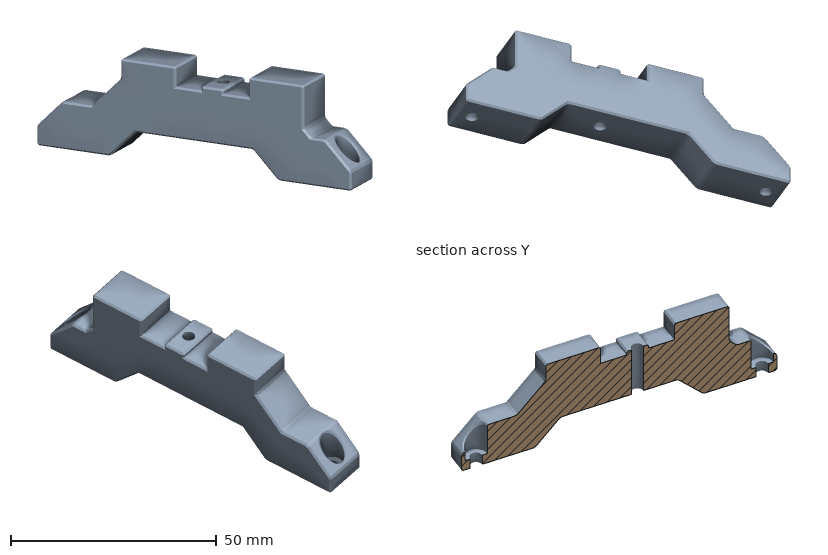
import cadquery as cq
import math

LENGTH = 86.0
WIDTH = 12.0
HEIGHT = 25.0

FOOT_LENGTH = 20.0
END_HEIGHT = 5.0
FOOT_HEIGHT = 12.0
OUTER_SLOPE = FOOT_HEIGHT - END_HEIGHT

ARCH_HEIGHT = 7.0
ARCH_START = FOOT_LENGTH + ARCH_HEIGHT
ARCH_END = LENGTH - ARCH_START
SEAT_Z = 19.95
BLOCK_LENGTH = 15.05
LEFT_BLOCK_START = 23.0
LEFT_BLOCK_END = LEFT_BLOCK_START + BLOCK_LENGTH
RIGHT_BLOCK_START = 58.0
RIGHT_BLOCK_END = RIGHT_BLOCK_START + BLOCK_LENGTH

LEFT_RAMP_START = LEFT_BLOCK_START - (SEAT_Z - FOOT_HEIGHT)
RIGHT_RAMP = 2.0
RIGHT_RAMP_END = RIGHT_BLOCK_END + RIGHT_RAMP

PAD_CENTER = 48.0
PAD_LENGTH = 6.0
PAD_HEIGHT = 1.1
PAD_START = PAD_CENTER - PAD_LENGTH / 2
PAD_END = PAD_CENTER + PAD_LENGTH / 2

HOLE_DIAMETER = 3.2
COUNTERBORE_DIAMETER = 5.9
COUNTERBORE_FLOOR_Z = 3.0
FOOT_HOLE_INSET = 4.0

CHAMFER = 0.47

SEAT_CORNERS = [
    (LEFT_BLOCK_END, SEAT_Z),
    (PAD_START, SEAT_Z),
    (PAD_END, SEAT_Z),
    (RIGHT_BLOCK_START, SEAT_Z),
]
RAMP_CORNERS = [
    (LEFT_RAMP_START, FOOT_HEIGHT),
    (LEFT_BLOCK_START, SEAT_Z),
    (RIGHT_BLOCK_END, FOOT_HEIGHT + RIGHT_RAMP),
    (RIGHT_RAMP_END, FOOT_HEIGHT),
    (ARCH_START, ARCH_HEIGHT),
    (ARCH_END, ARCH_HEIGHT),
]


def make_body():
    """Extrude the side outline equally to both sides of the XZ plane."""
    pad_z = SEAT_Z + PAD_HEIGHT
    outline = [
        (0, 0),
        (0, END_HEIGHT),
        (OUTER_SLOPE, FOOT_HEIGHT),
        (LEFT_RAMP_START, FOOT_HEIGHT),
        (LEFT_BLOCK_START, SEAT_Z),
        (LEFT_BLOCK_START, HEIGHT),
        (LEFT_BLOCK_END, HEIGHT),
        (LEFT_BLOCK_END, SEAT_Z),
        (PAD_START, SEAT_Z),
        (PAD_START, pad_z),
        (PAD_END, pad_z),
        (PAD_END, SEAT_Z),
        (RIGHT_BLOCK_START, SEAT_Z),
        (RIGHT_BLOCK_START, HEIGHT),
        (RIGHT_BLOCK_END, HEIGHT),
        (RIGHT_BLOCK_END, FOOT_HEIGHT + RIGHT_RAMP),
        (RIGHT_RAMP_END, FOOT_HEIGHT),
        (LENGTH - OUTER_SLOPE, FOOT_HEIGHT),
        (LENGTH, END_HEIGHT),
        (LENGTH, 0),
        (LENGTH - FOOT_LENGTH, 0),
        (ARCH_END, ARCH_HEIGHT),
        (ARCH_START, ARCH_HEIGHT),
        (FOOT_LENGTH, 0),
    ]
    return cq.Workplane("XZ").polyline(outline).close().extrude(WIDTH / 2, both=True)


def crosswise_edges(corners):
    """Selector for the edges along Y that pass through the given (x, z) corners."""
    reach = CHAMFER / 4
    boxes = [
        cq.selectors.BoxSelector((x - reach, -reach, z - reach), (x + reach, reach, z + reach))
        for x, z in corners
    ]
    selector = boxes[0]
    for box in boxes[1:]:
        selector = selector + box
    return selector


def break_edges(body):
    """Chamfer the sides and outer corners, then the ramp corners; seat corners stay sharp."""
    inner_corners = crosswise_edges(SEAT_CORNERS + RAMP_CORNERS)
    body = body.edges(cq.selectors.InverseSelector(inner_corners)).chamfer(CHAMFER)
    return body.edges(crosswise_edges(RAMP_CORNERS)).chamfer(CHAMFER)


def vertical_cylinder(x, diameter, bottom_z):
    """Cylinder along Z from bottom_z up past the top of the part."""
    return cq.Workplane("XY", origin=(x, 0, bottom_z)).circle(diameter / 2).extrude(HEIGHT)


def counterbore_rim(x, slope_direction):
    """Chamfer cutter for the elliptical counterbore mouth on an outer slope.

    slope_direction is 1 where the slope rises along +X and -1 where it falls.
    """
    radius = COUNTERBORE_DIAMETER / 2
    long_radius = radius * math.sqrt(2)
    mouth_z = END_HEIGHT + FOOT_HOLE_INSET

    def mouth_wire(z, margin):
        plane = cq.Plane((x, 0, z), xDir=(1, 0, slope_direction), normal=(-slope_direction, 0, 1))
        ellipse = cq.Workplane(plane).ellipse(long_radius + margin, radius + margin)
        return ellipse.wires().val()

    wires = [mouth_wire(mouth_z - CHAMFER, 0), mouth_wire(mouth_z, CHAMFER)]
    return cq.Workplane(cq.Solid.makeLoft(wires, True))


result = break_edges(make_body())

result = result.cut(vertical_cylinder(PAD_CENTER, HOLE_DIAMETER, 0))
for hole_x, slope_direction in ((FOOT_HOLE_INSET, 1), (LENGTH - FOOT_HOLE_INSET, -1)):
    result = result.cut(vertical_cylinder(hole_x, HOLE_DIAMETER, 0))
    result = result.cut(vertical_cylinder(hole_x, COUNTERBORE_DIAMETER, COUNTERBORE_FLOOR_Z))
    result = result.cut(counterbore_rim(hole_x, slope_direction))